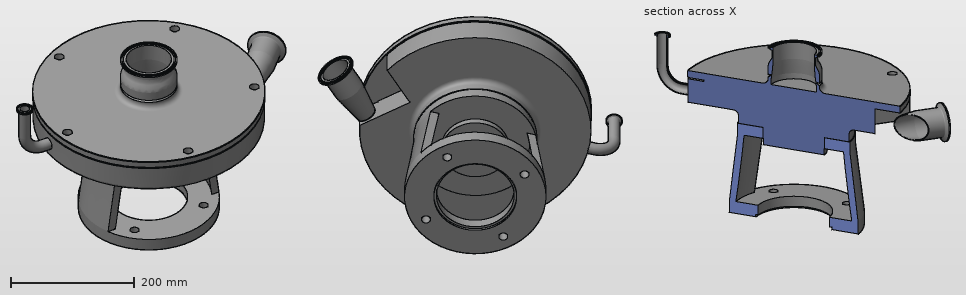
import cadquery as cq
import math

base_radius = 114.5
base_height = 21.5
base_bore_radius = 63.0
base_recess_radius = 67.0
base_recess_depth = 4.0
base_hole_count = 4
base_hole_radius = 7.0
base_hole_start_angle = 45
base_hole_circle = 92.0
ring_radius = 100.0
ring_bottom = 139.5
ring_top = 159.5
leg_width = 94.5
leg_thickness = 12.5

hub_radius = 54.5
hub_bottom = 128.5
collar_radius = 98.5
collar_fillet = 8.5
casing_radius = 188.0
casing_bottom = 181.0
casing_foot_height = 3.0
casing_foot_inset = 0.5
casing_top = 222.5
lid_diameter = 378.0
lid_radius = lid_diameter / 2
lid_bottom = 224.5
lid_top = 237.0
lid_chamfer = 0.5
lid_chamfer_height = 1.5
joint_radius = 160.0
lid_hole_count = 5
lid_hole_radius = 8.0
lid_hole_circle = 171.5
lid_hole_start_angle = -8.7

neck_radius = 46.0
neck_fillet = 9.5
lip_height = 2.5
lip_taper_height = 2.5
neck_groove_radius = 42.0
neck_groove_bottom = lid_top + neck_fillet + lip_height + lip_taper_height
neck_groove_top = 253.0
body_top = 268.0
throat_radius = 39.0
throat_bottom = 288.5
inlet_top = 302.5
inlet_bore_radius = 36.5
inlet_bore_bottom = 273.0
inlet_chamber_radius = 40.0

flange_thickness = 2.5
flange_stub = 1.0
flange_cone = 3.0
flange_fillet = 1.5
drain_flange_cone = 1.5
drain_flange_fillet = 0.5
flange_groove_depth = 1.0

port_height = 203.0
outlet_angle = 135
outlet_offset = 145.0
outlet_radius = 25.0
outlet_root_radius = 16.5
outlet_wall = 1.5
outlet_flange_radius = 32.0
outlet_end = 204.0
outlet_taper_end = 159.5
outlet_bore_taper_end = 163.5
outlet_seat = 102.0
outlet_notch_side = 64.0
drain_radius = 10.0
drain_wall = 2.0
drain_flange_radius = 13.5
drain_reach = 233.5
drain_bend_radius = 34.0
drain_top = 292.0


def cylinder(radius, bottom, top):
    return cq.Workplane("XY").workplane(offset=bottom).circle(radius).extrude(top - bottom)


def polar_holes(count, start_angle, circle_radius, hole_radius, bottom, top):
    return (
        cq.Workplane("XY")
        .workplane(offset=bottom)
        .polarArray(circle_radius, start_angle, 360, count)
        .circle(hole_radius)
        .extrude(top - bottom)
    )


def revolve_about_z(outline):
    return outline.close().revolve(360, (0, 0, 0), (0, 1, 0))


def build_legs():
    shell = revolve_about_z(
        cq.Workplane("XZ")
        .moveTo(base_radius - leg_thickness, base_height)
        .lineTo(base_radius, base_height)
        .lineTo(ring_radius, ring_bottom)
        .lineTo(ring_radius - leg_thickness, ring_bottom)
    )
    strip = (
        cq.Workplane("XY")
        .workplane(offset=base_height)
        .rect(leg_width, 2 * base_radius)
        .extrude(ring_bottom - base_height)
    )
    return shell.intersect(strip)


def build_stand():
    base = cylinder(base_radius, 0, base_height).cut(cylinder(base_bore_radius, 0, base_height))
    base = base.cut(cylinder(base_recess_radius, 0, base_recess_depth))
    base = base.cut(
        polar_holes(
            base_hole_count, base_hole_start_angle, base_hole_circle, base_hole_radius, 0, base_height
        )
    )
    ring = cylinder(ring_radius, ring_bottom, ring_top).cut(cylinder(hub_radius, ring_bottom, ring_top))
    return base.union(build_legs()).union(ring)


def build_casing():
    """Hub, collar with its flare, casing drum, gap and lid as one turned profile."""
    flare_middle = collar_fillet * (1 - math.sqrt(0.5))
    neck_middle = neck_fillet * (1 - math.sqrt(0.5))
    profile = (
        cq.Workplane("XZ")
        .moveTo(0, hub_bottom)
        .lineTo(hub_radius, hub_bottom)
        .lineTo(hub_radius, ring_top)
        .lineTo(collar_radius, ring_top)
        .lineTo(collar_radius, casing_bottom - collar_fillet)
        .threePointArc(
            (collar_radius + flare_middle, casing_bottom - flare_middle),
            (collar_radius + collar_fillet, casing_bottom),
        )
        .lineTo(casing_radius - casing_foot_inset, casing_bottom)
        .lineTo(casing_radius, casing_bottom + casing_foot_height)
        .lineTo(casing_radius, casing_top)
        .lineTo(joint_radius, casing_top)
        .lineTo(joint_radius, lid_bottom)
        .lineTo(lid_radius - lid_chamfer, lid_bottom)
        .lineTo(lid_radius, lid_bottom + lid_chamfer_height)
        .lineTo(lid_radius, lid_top - lid_chamfer_height)
        .lineTo(lid_radius - lid_chamfer, lid_top)
        .lineTo(neck_radius + neck_fillet, lid_top)
        .threePointArc(
            (neck_radius + neck_middle, lid_top + neck_middle),
            (neck_radius, lid_top + neck_fillet),
        )
        .lineTo(neck_radius, lid_top + neck_fillet + lip_height)
        .lineTo(neck_groove_radius, neck_groove_bottom)
        .lineTo(0, neck_groove_bottom)
    )
    return revolve_about_z(profile)


def stepped_round(wide_radius, narrow_radius, bottom, wide_top, narrow_bottom, top):
    """Turned shape about Z: wide part, S-shaped reduction, narrow part."""
    return revolve_about_z(
        cq.Workplane("XZ")
        .moveTo(0, bottom)
        .lineTo(wide_radius, bottom)
        .lineTo(wide_radius, wide_top)
        .spline([(narrow_radius, narrow_bottom)], tangents=[(0, 1), (0, 1)], includeCurrent=True)
        .lineTo(narrow_radius, top)
        .lineTo(0, top)
    )


def clamp_flange(pipe_radius, flange_radius, cone_height, fillet):
    """Clamp flange whose sealing face lies in the XY plane, with a short stub of its pipe below."""
    fillet_top = -flange_thickness - cone_height
    fillet_bottom = fillet_top - fillet
    disc = revolve_about_z(
        cq.Workplane("XZ")
        .moveTo(0, fillet_bottom - flange_stub)
        .lineTo(pipe_radius, fillet_bottom - flange_stub)
        .lineTo(pipe_radius, fillet_bottom)
        .tangentArcPoint((pipe_radius + fillet / 2, fillet_top), relative=False)
        .lineTo(flange_radius, -flange_thickness)
        .lineTo(flange_radius, 0)
        .lineTo(0, 0)
    )
    groove_width = (flange_radius - pipe_radius) / 3
    groove_centre = (pipe_radius + flange_radius) / 2
    groove = (
        cq.Workplane("XY")
        .circle(groove_centre + groove_width / 2)
        .circle(groove_centre - groove_width / 2)
        .extrude(-flange_groove_depth)
    )
    return disc.cut(groove)


def build_inlet():
    flange = clamp_flange(throat_radius, neck_radius, flange_cone, flange_fillet)
    flange = flange.translate((0, 0, inlet_top))
    pipe_top = inlet_top - flange_thickness
    return (
        stepped_round(neck_radius, throat_radius, neck_groove_top, body_top, throat_bottom, pipe_top)
        .union(cylinder(neck_groove_radius, neck_groove_bottom, neck_groove_top))
        .union(flange)
    )


def build_inlet_bore():
    return stepped_round(
        inlet_chamber_radius,
        inlet_bore_radius,
        lid_top,
        lid_top + neck_fillet,
        inlet_bore_bottom,
        inlet_top,
    )


def on_outlet_axis(shape):
    """Turn a shape built along +Z so that it runs along the outlet axis."""
    turn = math.radians(outlet_angle - 90)
    return (
        shape.rotate((0, 0, 0), (0, 1, 0), 90)
        .rotate((0, 0, 0), (0, 0, 1), outlet_angle)
        .translate((outlet_offset * math.cos(turn), outlet_offset * math.sin(turn), port_height))
    )


def outlet_tube(inset, taper_end, end):
    """Taper from the seat on the casing followed by a straight pipe; inset thins it for the bore."""
    return revolve_about_z(
        cq.Workplane("XZ")
        .moveTo(0, outlet_seat)
        .lineTo(outlet_root_radius - inset, outlet_seat)
        .lineTo(outlet_radius - inset, taper_end)
        .lineTo(outlet_radius - inset, end)
        .lineTo(0, end)
    )


def build_outlet():
    flange = clamp_flange(outlet_radius, outlet_flange_radius, flange_cone, flange_fillet)
    flange = flange.translate((0, 0, outlet_end))
    tube = outlet_tube(0, outlet_taper_end, outlet_end - flange_thickness).union(flange)
    return on_outlet_axis(tube.cut(outlet_tube(outlet_wall, outlet_bore_taper_end, outlet_end)))


def build_outlet_notch():
    """Notch under the lid that leaves a flat seat square to the outlet axis."""
    return (
        cq.Workplane("XY")
        .workplane(offset=casing_bottom)
        .moveTo(outlet_seat, -outlet_notch_side)
        .lineTo(lid_radius, -outlet_notch_side)
        .lineTo(lid_radius, -lid_radius)
        .lineTo(outlet_seat, -lid_radius)
        .close()
        .extrude(lid_bottom - casing_bottom)
        .rotate((0, 0, 0), (0, 0, 1), outlet_angle)
    )


def drain_tube(radius, start):
    """Pipe from the casing side, through a quarter bend, up to the drain flange."""
    bend_start = drain_reach - drain_bend_radius
    path = (
        cq.Workplane("YZ")
        .moveTo(-start, port_height)
        .lineTo(-bend_start, port_height)
        .tangentArcPoint((-drain_reach, port_height + drain_bend_radius), relative=False)
        .lineTo(-drain_reach, drain_top)
    )
    return cq.Workplane("XZ", origin=(0, -start, port_height)).circle(radius).sweep(path)


def build_drain():
    flange = clamp_flange(drain_radius, drain_flange_radius, drain_flange_cone, drain_flange_fillet)
    flange = flange.translate((0, -drain_reach, drain_top))
    return drain_tube(drain_radius, joint_radius).union(flange)


def build_housing():
    housing = build_casing().cut(build_outlet_notch())
    housing = housing.union(build_outlet())
    housing = housing.union(build_inlet()).cut(build_inlet_bore())
    housing = housing.union(build_drain())
    housing = housing.cut(drain_tube(drain_radius - drain_wall, casing_radius))
    return housing.cut(
        polar_holes(
            lid_hole_count, lid_hole_start_angle, lid_hole_circle, lid_hole_radius, lid_bottom, lid_top
        )
    )


stand = build_stand()
housing = build_housing()
result = cq.Compound.makeCompound([stand.solids().val(), housing.solids().val()])